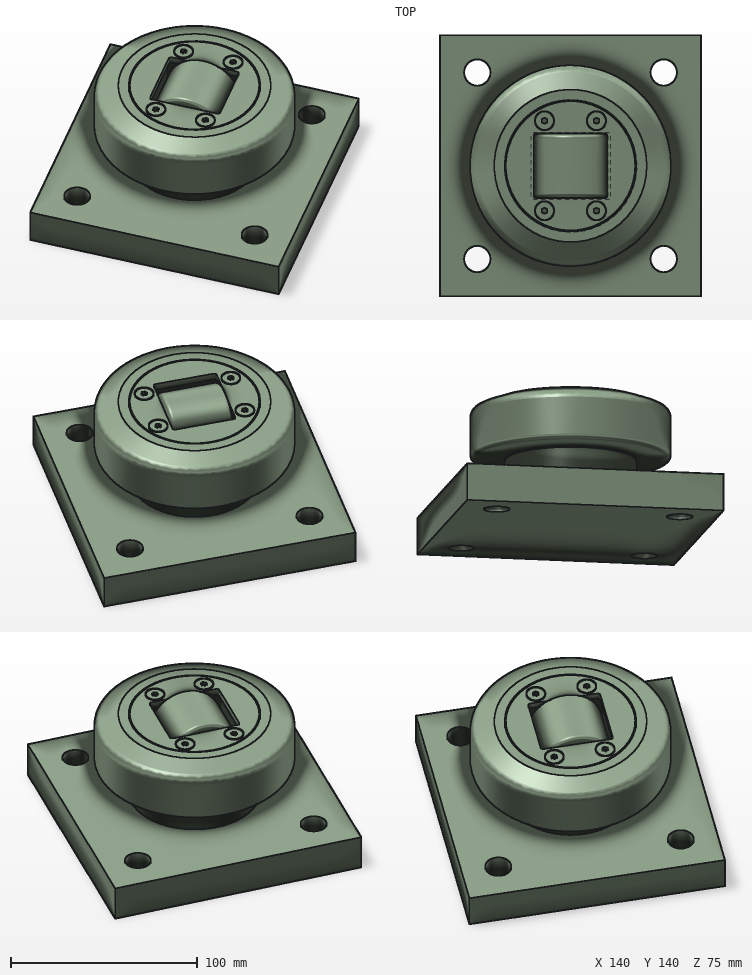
import cadquery as cq
import math

PLATE_SIDE = 140.0
PLATE_THICKNESS = 20.0
BOLT_HOLE_SPACING = 100.0
BOLT_HOLE_DIAMETER = 14.0

STUD_DIAMETER = 71.0
CORE_DIAMETER = 70.5
RING_CLEARANCE = 0.8
HEAD_DIAMETER = 69.3
HEAD_HEIGHT = 5.0

PLATE_TO_RING = 20.0
RING_DIAMETER = 107.7
RING_BOTTOM = PLATE_THICKNESS + PLATE_TO_RING
RING_HEIGHT = 31.0
RING_TOP = RING_BOTTOM + RING_HEIGHT
RING_TOP_FLAT_DIAMETER = 81.8
RING_CONE_DROP = 4.6
RING_SHOULDER_RADIUS = 5.0
RING_BOTTOM_RADIUS = 2.5

OVERALL_HEIGHT = 75.0
ROLLER_DIAMETER = 40.0
ROLLER_LENGTH = 34.3
ROLLER_EDGE_RADIUS = 2.5
ROLLER_AXIS_HEIGHT = OVERALL_HEIGHT - ROLLER_DIAMETER / 2

OPENING_LENGTH = 39.5
OPENING_WIDTH = 35.0
OPENING_DEPTH = 4.0
CHAMBER_LENGTH = 42.8
CHAMBER_WIDTH = 35.8
CHAMBER_FLOOR = ROLLER_AXIS_HEIGHT - ROLLER_DIAMETER / 2
POCKET_CORNER_RADIUS = 1.5

SCREW_CIRCLE_RADIUS = 27.9
SCREW_ANGLES = (60, 120, 240, 300)
SCREW_HEAD_DIAMETER = 10.0
SCREW_GROOVE_WIDTH = 0.21
SCREW_GROOVE_DEPTH = 0.4
SCREW_SOCKET_SIDES = 6
SCREW_SOCKET_FLATS = 3.0
SCREW_SOCKET_DEPTH = 2.1


def mounting_plate():
    return (
        cq.Workplane("XY")
        .rect(PLATE_SIDE, PLATE_SIDE)
        .extrude(PLATE_THICKNESS)
        .faces(">Z")
        .workplane()
        .rect(BOLT_HOLE_SPACING, BOLT_HOLE_SPACING, forConstruction=True)
        .vertices()
        .hole(BOLT_HOLE_DIAMETER)
    )


def cylinder(diameter, bottom, top):
    return cq.Workplane("XY").workplane(offset=bottom).circle(diameter / 2).extrude(top - bottom)


def pocket_tier(length, width, bottom, top):
    return (
        cq.Workplane("XY")
        .workplane(offset=bottom)
        .rect(length, width)
        .extrude(top - bottom)
        .edges("|Z")
        .fillet(POCKET_CORNER_RADIUS)
    )


def roller_pocket():
    opening_bottom = RING_TOP - OPENING_DEPTH
    opening = pocket_tier(OPENING_LENGTH, OPENING_WIDTH, opening_bottom, RING_TOP)
    chamber = pocket_tier(CHAMBER_LENGTH, CHAMBER_WIDTH, CHAMBER_FLOOR, opening_bottom)
    return opening.union(chamber)


def screw_cut(angle):
    x = SCREW_CIRCLE_RADIUS * math.cos(math.radians(angle))
    y = SCREW_CIRCLE_RADIUS * math.sin(math.radians(angle))
    groove_bottom = RING_TOP - SCREW_GROOVE_DEPTH
    groove = cylinder(SCREW_HEAD_DIAMETER + 2 * SCREW_GROOVE_WIDTH, groove_bottom, RING_TOP)
    groove = groove.cut(cylinder(SCREW_HEAD_DIAMETER, groove_bottom, RING_TOP))
    half_side_angle = 180 / SCREW_SOCKET_SIDES
    socket_corners = SCREW_SOCKET_FLATS / math.cos(math.radians(half_side_angle))
    socket = (
        cq.Workplane("XY")
        .workplane(offset=RING_TOP)
        .transformed(rotate=(0, 0, half_side_angle))
        .polygon(SCREW_SOCKET_SIDES, socket_corners)
        .extrude(-SCREW_SOCKET_DEPTH)
    )
    return groove.union(socket).translate((x, y, 0))


def make_base():
    head_bottom = RING_TOP - HEAD_HEIGHT
    shoulder = RING_BOTTOM - RING_CLEARANCE
    stud = cylinder(STUD_DIAMETER, PLATE_THICKNESS, shoulder)
    core = cylinder(CORE_DIAMETER, shoulder, head_bottom)
    head = cylinder(HEAD_DIAMETER, head_bottom, RING_TOP)
    base = mounting_plate().union(stud).union(core).union(head).cut(roller_pocket())
    for angle in SCREW_ANGLES:
        base = base.cut(screw_cut(angle))
    return base


def make_ring():
    bore_radius = CORE_DIAMETER / 2
    outer_radius = RING_DIAMETER / 2
    cone_bottom = RING_TOP - RING_CONE_DROP
    ring = (
        cq.Workplane("XZ")
        .moveTo(bore_radius, RING_BOTTOM)
        .lineTo(outer_radius, RING_BOTTOM)
        .lineTo(outer_radius, cone_bottom)
        .lineTo(RING_TOP_FLAT_DIAMETER / 2, RING_TOP)
        .lineTo(bore_radius, RING_TOP)
        .close()
        .revolve(360, (0, 0, 0), (0, 1, 0))
    )
    shoulder_edge = cq.selectors.RadiusNthSelector(-1)
    ring = ring.edges(shoulder_edge).edges(">Z").fillet(RING_SHOULDER_RADIUS)
    return ring.edges(shoulder_edge).edges("<Z").fillet(RING_BOTTOM_RADIUS)


def make_roller():
    return (
        cq.Workplane("XZ", origin=(0, ROLLER_LENGTH / 2, ROLLER_AXIS_HEIGHT))
        .circle(ROLLER_DIAMETER / 2)
        .extrude(ROLLER_LENGTH)
        .edges("%CIRCLE")
        .fillet(ROLLER_EDGE_RADIUS)
    )


base = make_base().solids()
ring = make_ring().solids()
roller = make_roller().solids()

result = cq.Compound.makeCompound([base.val(), ring.val(), roller.val()])